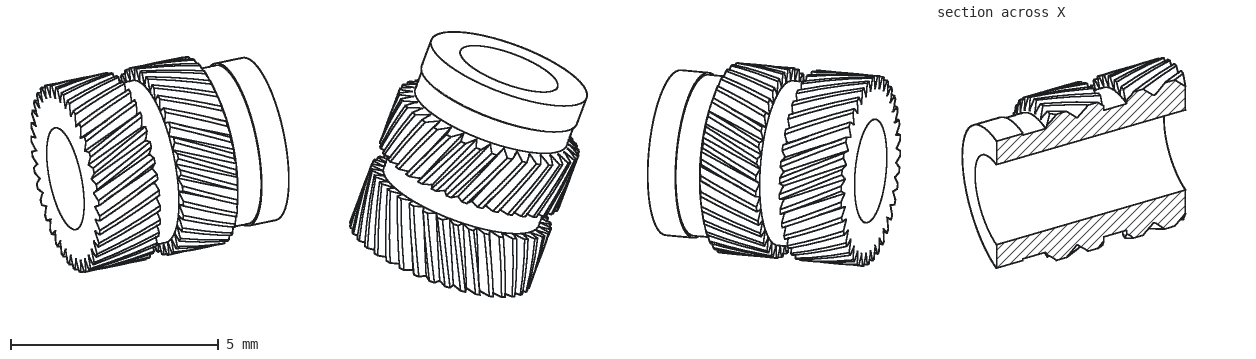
import math

import cadquery as cq

BORE_DIAMETER = 2.5
COLLAR_DIAMETER = 4.0
UNDERCUT_DIAMETER = 3.9
NECK_DIAMETER = 3.99
KNURL_DIAMETER = 4.6

FRONT_KNURL_END = 1.56
REAR_KNURL_START = 2.16
REAR_KNURL_END = 3.7
COLLAR_START = 4.3
LENGTH = 5.0
CHAMFER_LENGTH = 0.14

GROOVE_COUNT = 36
GROOVE_ROOT_RADIUS = 2.0
GROOVE_WIDTH_ANGLE = 6.8
TWIST_PER_MM = 12.0
REAR_PHASE = -TWIST_PER_MM * (REAR_KNURL_END - REAR_KNURL_START)


def polar(radius, degrees):
    """Point at a radius and an angle around the axis."""
    angle = math.radians(degrees)
    return (radius * math.cos(angle), radius * math.sin(angle))


def knurl(start, end, twist_direction, phase):
    """Band of helical teeth separated by V grooves; phase is the turn in degrees of the start face."""
    radius = KNURL_DIAMETER / 2
    pitch = 360 / GROOVE_COUNT
    half_width = GROOVE_WIDTH_ANGLE / 2
    profile = cq.Workplane("XY").moveTo(*polar(radius, -half_width))
    for index in range(GROOVE_COUNT):
        center = index * pitch
        profile = (
            profile.lineTo(*polar(GROOVE_ROOT_RADIUS, center))
            .lineTo(*polar(radius, center + half_width))
            .threePointArc(
                polar(radius, center + pitch / 2),
                polar(radius, center + pitch - half_width),
            )
        )
    length = end - start
    band = profile.close().twistExtrude(length, twist_direction * TWIST_PER_MM * length)
    return band.rotate((0, 0, 0), (0, 0, 1), phase).translate((0, 0, start))


def chamfer_envelope():
    """Solid of revolution that bevels the rear edge of the rear knurl."""
    clearance = 0.1
    inner = UNDERCUT_DIAMETER / 2
    outer = KNURL_DIAMETER / 2 + clearance
    slope = CHAMFER_LENGTH / (KNURL_DIAMETER / 2 - inner)
    outer_height = REAR_KNURL_END - CHAMFER_LENGTH - slope * clearance
    return (
        cq.Workplane("XZ")
        .moveTo(0, 0)
        .lineTo(outer, 0)
        .lineTo(outer, outer_height)
        .lineTo(inner, REAR_KNURL_END)
        .lineTo(0, REAR_KNURL_END)
        .close()
        .revolve(360, (0, 0, 0), (0, 1, 0))
    )


def cylinder(diameter, start, end):
    """Plain round section between two stations on the axis."""
    return cq.Workplane("XY").workplane(offset=start).circle(diameter / 2).extrude(end - start)


front_knurl = knurl(0, FRONT_KNURL_END, -1, 0)
rear_knurl = knurl(REAR_KNURL_START, REAR_KNURL_END, 1, REAR_PHASE).intersect(chamfer_envelope())
neck = cylinder(NECK_DIAMETER, FRONT_KNURL_END, REAR_KNURL_START)
undercut = cylinder(UNDERCUT_DIAMETER, REAR_KNURL_END, COLLAR_START)
collar = cylinder(COLLAR_DIAMETER, COLLAR_START, LENGTH)
bore = cylinder(BORE_DIAMETER, 0, LENGTH)

insert = front_knurl.union(neck).union(rear_knurl).union(undercut).union(collar).cut(bore)
result = insert.rotate((0, 0, 0), (1, 0, 0), -90)